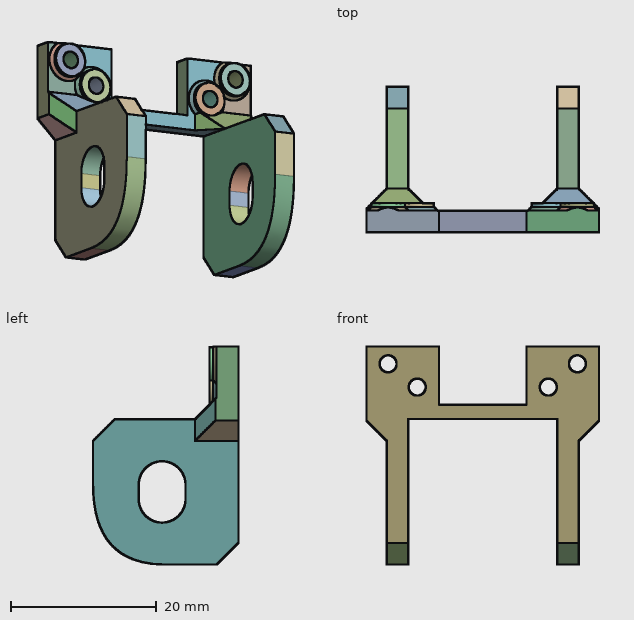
import cadquery as cq


plate_width = 32.0
plate_height = 30.0
plate_thickness = 3.0
notch_width = 12.0
notch_depth = 8.0

leg_length = 20.0
leg_height = 20.0
leg_thickness = 3.0
leg_outer_x = 13.2
leg_inner_x = leg_outer_x - leg_thickness
leg_chamfer = 3.0
leg_curve_y = 10.0
leg_curve_z = 11.0

flare_size = 3.0
flare_back_y = plate_thickness + flare_size
flare_bottom_z = leg_height - flare_size
half_width = plate_width / 2
ear_bottom_z = flare_bottom_z + half_width - leg_outer_x

slot_width = 6.4
slot_straight = 2.0
slot_center_y = 10.5
slot_center_z = leg_height / 2

hole_places = [(9.0, 24.4), (13.0, 27.6)]
hole_diameter = 2.3
rim_radius = 2.3
rim_height = 1.0
rim_cone_height = 0.5
rim_base_radius = rim_radius + rim_cone_height


def extrude_back(sketch, depth):
    """Extrude an XZ sketch toward +Y, against the workplane normal."""
    return sketch.extrude(-depth)


def xz_plane(y):
    """Workplane parallel to the plate at distance y behind its front face."""
    return cq.Workplane("XZ", origin=(0, y, 0))


def frame_blank(depth):
    """Plate outline with notch, sloped ears and opening, ending above the foot chamfers of the legs."""
    right_edge = [
        (notch_width / 2, plate_height - notch_depth),
        (notch_width / 2, plate_height),
        (half_width, plate_height),
        (half_width, ear_bottom_z),
        (leg_outer_x, flare_bottom_z),
        (leg_outer_x, leg_chamfer),
        (leg_inner_x, leg_chamfer),
        (leg_inner_x, leg_height),
    ]
    left_edge = [(-x, z) for x, z in reversed(right_edge)]
    return extrude_back(xz_plane(0).polyline(right_edge + left_edge).close(), depth)


def flare():
    """Pyramid frustum from the top of the right leg to the plate, kept within the plate outline."""
    center_x = leg_outer_x - leg_thickness / 2
    center_z = leg_height - flare_size / 2
    base_width = leg_thickness + 2 * flare_size
    base_height = flare_size + 2 * flare_size
    frustum = (
        xz_plane(flare_back_y)
        .center(center_x, center_z)
        .rect(leg_thickness, flare_size)
        .workplane(offset=flare_size)
        .rect(base_width, base_height)
        .loft(ruled=True)
    )
    return frustum.intersect(frame_blank(flare_back_y))


def leg():
    """Right leg: chamfered front foot and upper back corner, parabolic lower back corner."""
    return (
        cq.Workplane("YZ", origin=(leg_inner_x, 0, 0))
        .moveTo(leg_chamfer, 0)
        .lineTo(leg_curve_y, 0)
        .bezier([(leg_curve_y, 0), (leg_length, 0), (leg_length, leg_curve_z)])
        .lineTo(leg_length, leg_height - leg_chamfer)
        .lineTo(leg_length - leg_chamfer, leg_height)
        .lineTo(0, leg_height)
        .lineTo(0, leg_chamfer)
        .close()
        .extrude(leg_thickness)
    )


def leg_slot():
    """Upright slot through the right leg."""
    return (
        cq.Workplane("YZ", origin=(leg_inner_x, slot_center_y, slot_center_z))
        .slot2D(slot_straight + slot_width, slot_width, 90)
        .extrude(leg_thickness)
    )


def rim(x, z):
    """Conical foot and cylindrical crown around one hole, trimmed at the plate top."""
    profile = [
        (0, 0),
        (rim_base_radius, 0),
        (rim_radius, rim_cone_height),
        (rim_radius, rim_height),
        (0, rim_height),
    ]
    turned = cq.Workplane("XY").polyline(profile).close().revolve(360, (0, 0), (0, 1))
    return turned.translate((x, plate_thickness, z)).intersect(frame_blank(plate_thickness + rim_height))


def screw_hole(x, z):
    """Hole through the plate, its rim and the flare behind it."""
    return extrude_back(xz_plane(0).center(x, z).circle(hole_diameter / 2), flare_back_y)


right_side = leg().cut(leg_slot()).union(flare())
for hole_x, hole_z in hole_places:
    right_side = right_side.union(rim(hole_x, hole_z))

result = frame_blank(plate_thickness).union(right_side).union(right_side.mirror("YZ"))
for hole_x, hole_z in hole_places:
    for side in (-1, 1):
        result = result.cut(screw_hole(side * hole_x, hole_z))